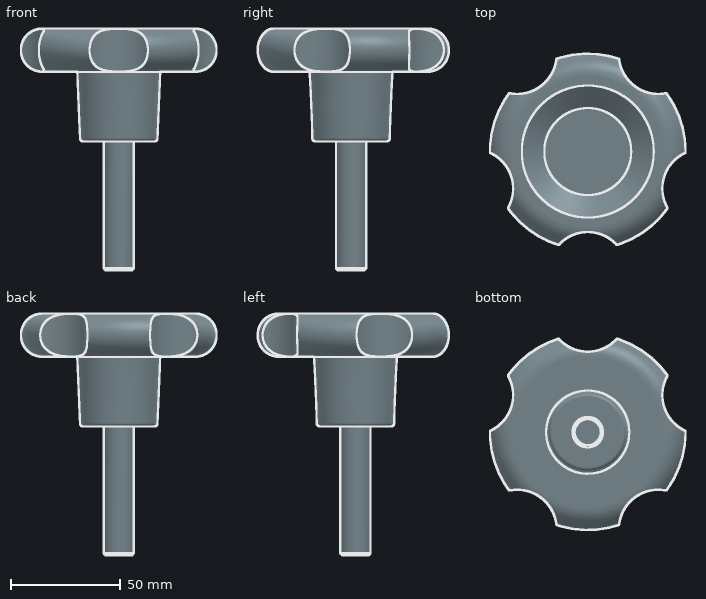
import cadquery as cq

total_height = 111.0

wheel_radius = 45.0
wheel_thickness = 20.0
rim_radius = wheel_thickness / 2
flat_radius = wheel_radius - rim_radius

lip_radius = 30.9
dish_radius = 30.3
lip_depth = 0.1
dish_floor_radius = 20.0
dish_depth = 7.0

scallop_count = 5
scallop_radius = 18.0
scallop_center_distance = 55.0
first_scallop_angle = -90.0

hub_top_radius = 19.1
hub_bottom_radius = 17.8
hub_length = 32.0
hub_fillet = 1.5
stud_diameter = 14.0
stud_chamfer = 1.0

wheel_bottom = total_height - wheel_thickness
hub_bottom = wheel_bottom - hub_length


def make_wheel():
    """Disc with a fully rounded rim."""
    profile = (
        cq.Workplane("XZ")
        .moveTo(0, wheel_bottom)
        .lineTo(flat_radius, wheel_bottom)
        .threePointArc((wheel_radius, wheel_bottom + rim_radius), (flat_radius, total_height))
        .lineTo(0, total_height)
        .close()
    )
    return profile.revolve(360, (0, 0, 0), (0, 1, 0))


def make_dish():
    """Recess volume: a thin bevelled lip above a conical wall and a flat floor."""
    floor = total_height - dish_depth
    profile = (
        cq.Workplane("XZ")
        .moveTo(0, floor)
        .lineTo(dish_floor_radius, floor)
        .lineTo(dish_radius, total_height - lip_depth)
        .lineTo(lip_radius, total_height)
        .lineTo(0, total_height)
        .close()
    )
    return profile.revolve(360, (0, 0, 0), (0, 1, 0))


def make_scallops():
    """Vertical cylinders that cut the finger grips."""
    return (
        cq.Workplane("XY")
        .workplane(offset=wheel_bottom)
        .polarArray(scallop_center_distance, first_scallop_angle, 360, scallop_count)
        .circle(scallop_radius)
        .extrude(wheel_thickness)
    )


def make_hub():
    """Hub that narrows downwards, with a rounded lower edge."""
    hub = (
        cq.Workplane("XY")
        .workplane(offset=hub_bottom)
        .circle(hub_bottom_radius)
        .workplane(offset=hub_length)
        .circle(hub_top_radius)
        .loft()
    )
    return hub.faces("<Z").edges().fillet(hub_fillet)


def make_stud():
    """Plain round stud with a chamfered free end."""
    stud = cq.Workplane("XY").circle(stud_diameter / 2).extrude(hub_bottom)
    return stud.faces("<Z").edges().chamfer(stud_chamfer)


wheel = make_wheel().cut(make_scallops()).cut(make_dish())
result = wheel.union(make_hub()).union(make_stud())